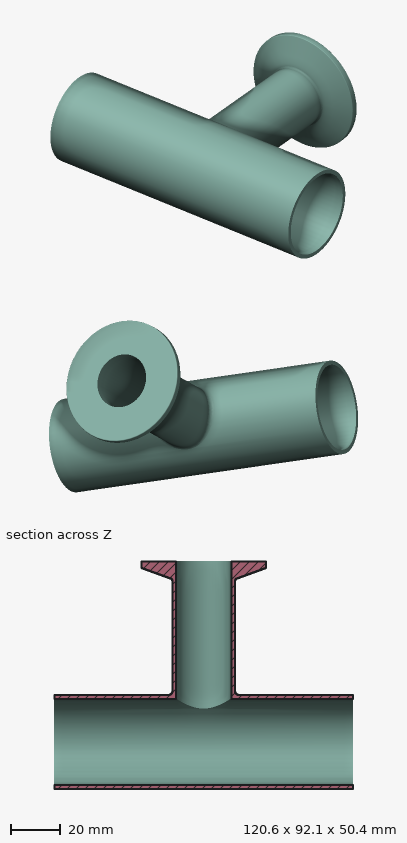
import cadquery as cq
import math

run_length = 120.6
run_outer_d = 38.1
wall = 1.7

branch_outer_d = 25.5
branch_end_y = 73.0
weld_fillet = 1.6

ferrule_d = 50.4
ferrule_length = 12.7
rim_thickness = 2.8
rim_fillet = 0.4
cone_angle = 20.0
neck_fillet = 1.0

run_inner_r = run_outer_d / 2 - wall
branch_outer_r = branch_outer_d / 2
branch_inner_r = branch_outer_r - wall
ferrule_r = ferrule_d / 2
cone_length = (ferrule_r - branch_outer_r) * math.tan(math.radians(cone_angle))
ferrule_start_y = branch_end_y - ferrule_length
rim_back_y = branch_end_y - rim_thickness
neck_y = rim_back_y - cone_length
edge_tol = 0.01


def x_cylinder(radius):
    """Cylinder along the full run length."""
    return cq.Workplane("YZ").circle(radius).extrude(run_length / 2, both=True)


def y_cylinder(radius, end_y):
    """Cylinder from the run axis out along +Y."""
    return cq.Workplane("XZ").circle(radius).extrude(-end_y)


def circles_between(body, low_y, high_y):
    """Circular edges of a body turned about Y whose centres lie from low_y to high_y."""
    low_corner = (-edge_tol, low_y - edge_tol, -edge_tol)
    high_corner = (edge_tol, high_y + edge_tol, edge_tol)
    return body.edges("%CIRCLE").edges(cq.selectors.BoxSelector(low_corner, high_corner))


def make_welded_tubes():
    """Solid run and branch, with the weld fillet around their joint."""
    tubes = x_cylinder(run_outer_d / 2).union(y_cylinder(branch_outer_r, ferrule_start_y))
    return tubes.edges("not(%CIRCLE or %LINE)").fillet(weld_fillet)


def make_ferrule():
    """Solid ferrule: straight neck, cone and rim, turned about Y."""
    ferrule = (
        cq.Workplane("XY")
        .moveTo(0, ferrule_start_y)
        .lineTo(branch_outer_r, ferrule_start_y)
        .lineTo(branch_outer_r, neck_y)
        .lineTo(ferrule_r, rim_back_y)
        .lineTo(ferrule_r, branch_end_y)
        .lineTo(0, branch_end_y)
        .close()
        .revolve(360, (0, 0, 0), (0, 1, 0))
    )
    ferrule = circles_between(ferrule, neck_y, neck_y).fillet(neck_fillet)
    return circles_between(ferrule, rim_back_y, branch_end_y).fillet(rim_fillet)


result = (
    make_welded_tubes()
    .union(make_ferrule())
    .cut(x_cylinder(run_inner_r))
    .cut(y_cylinder(branch_inner_r, branch_end_y))
)